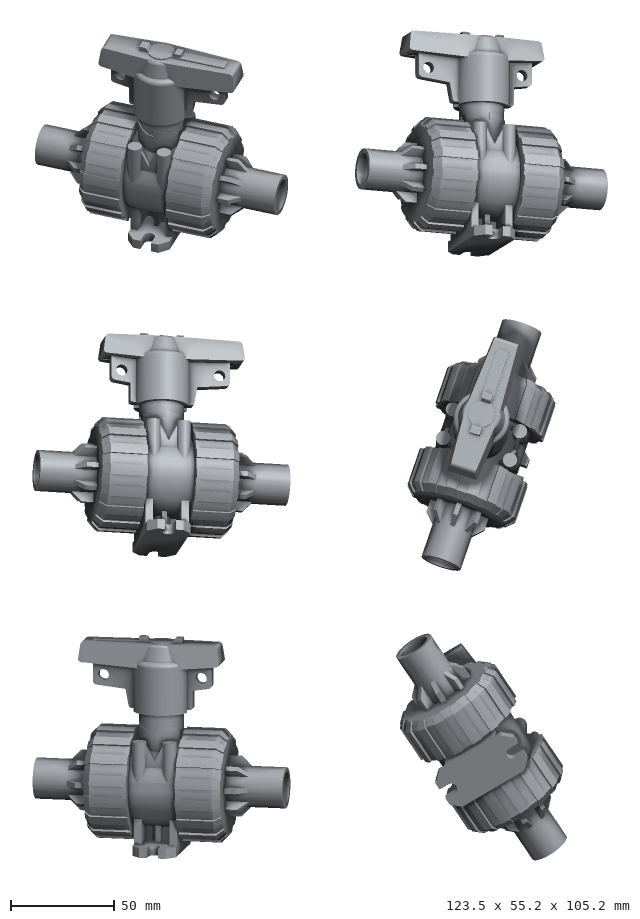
import cadquery as cq
import math


overall_length = 123.5
pipe_diameter = 20.0
pipe_bore = 15.5
rib_count = 8
rib_thickness = 2.4
rib_radius = 14.8
rib_tip_x = 44.6
rib_shoulder_x = 39.8

nut_inner_x = 12.1
nut_outer_x = 33.8
nut_radius = 27.765
nut_chamfer = 3.4
nut_opening = 31.0
groove_count = 16
groove_width = 5.66
groove_depth = 1.2
nut_wall = 3.4

body_diameter = 41.97
body_half_length = 24.0
body_bore = 15.0
neck_diameter = 22.9
neck_flat_x = 10.1
neck_top_z = 27.3
ramp_rise = 3.4
ramp_end = 3.0
post_diameter = 7.0
post_x = 7.5
post_y = 17.1
post_top_z = 23.55
post_rib_thickness = 1.8
notch_bottom_z = 13.6
notch_slope = 1.9
post_notch_half = post_x - post_diameter / 2
post_rib_top_z = notch_bottom_z + notch_slope * post_notch_half
gusset_angle = 18.0

foot_half_x = 10.7
foot_half_y = 22.3
foot_bottom_z = -33.0
foot_thickness = 4.9
foot_chamfer_x = 4.2
foot_chamfer_y = 4.6
foot_slot_width = 5.5
foot_slot_centre_y = 17.3
cheek_thickness = 3.7
cheek_half_y = 14.3
foot_boss_diameter = 8.8
foot_rib_thickness = 2.5
foot_rib_half_y = 8.0

hub_diameter = 27.4
hub_bottom_z = 35.8
hub_shoulder_z = 58.95
hub_shoulder_inset = 0.95
hub_shoulder_height = 1.85
skirt_diameter = 22.0
skirt_top_z = 47.8
cone_bottom_z = 61.6
cone_bottom_radius = 11.4
cone_top_radius = 9.2
cone_fillet = 1.8
grip_left_x = -30.3
grip_right_x = 40.3
grip_left_half_width = 7.7
grip_centre_half_width = 9.9
grip_right_half_width = 7.4
grip_bottom_z = 58.1
grip_end_z = 59.7
grip_flat_x = 10.5
grip_top_z = 69.67
grip_draft = 7.7
grip_edge_fillet = 1.8
grip_lower_fillet = 1.6
web_thickness = 5.0
web_slot_width = 7.0
web_left_x = -25.2
web_right_x = 33.4
web_arm_z = 48.0
web_leg_left_x = -15.9
web_leg_left_top_z = 46.6
web_leg_right_x = 15.6
web_leg_right_top_x = 17.3
web_leg_right_top_z = 46.3
web_leg_bottom_z = 37.0
web_arm_fillet = 2.0
web_leg_fillet = 1.4
web_hole_diameter = 5.5
web_hole_z = 52.8
web_hole_xs = (-20.1, 28.3)
cap_diameter = 12.9
cap_height = 0.75
lug_inner_x = 6.0
lug_slope_top_x = 7.25
lug_outer_x = 10.7
lug_width = 5.0
lug_fillet = 0.85
lug_top_z = 72.17
pointer_width = 5.7


def x_cylinder(diameter, start_x, end_x):
    disc = cq.Workplane("YZ", origin=(start_x, 0, 0)).circle(diameter / 2)
    return disc.extrude(end_x - start_x)


def z_cylinder(diameter, start_z, end_z, x=0, y=0):
    disc = cq.Workplane("XY", origin=(x, y, start_z)).circle(diameter / 2)
    return disc.extrude(end_z - start_z)


def block(x_range, y_range, z_range):
    size = [high - low for low, high in (x_range, y_range, z_range)]
    corner = cq.Vector(x_range[0], y_range[0], z_range[0])
    return cq.Workplane(cq.Solid.makeBox(*size, corner))


def profile_xz(points, thickness):
    """A plate parallel to XZ, centred on y = 0."""
    return cq.Workplane("XZ").polyline(points).close().extrude(thickness / 2, both=True)


def turned(shape, angle, axis):
    return shape.rotate((0, 0, 0), axis, angle)


X_AXIS = (1, 0, 0)
Z_AXIS = (0, 0, 1)


def make_pipe_end():
    """The +X pipe end: a flange held by the nut, a neck in its opening, the pipe and its ribs."""
    flange_end_x = nut_outer_x - nut_wall
    pipe_end = x_cylinder(body_diameter, body_half_length, flange_end_x)
    pipe_end = pipe_end.union(x_cylinder(nut_opening, flange_end_x, nut_outer_x))
    pipe_end = pipe_end.union(x_cylinder(pipe_diameter, nut_outer_x, overall_length / 2))
    rib = profile_xz(
        [
            (flange_end_x, 0),
            (rib_tip_x, 0),
            (rib_tip_x, pipe_diameter / 2),
            (rib_shoulder_x, rib_radius),
            (flange_end_x, rib_radius),
        ],
        rib_thickness,
    )
    for i in range(rib_count):
        pipe_end = pipe_end.union(turned(rib, i * 360 / rib_count, X_AXIS))
    return pipe_end.cut(x_cylinder(pipe_bore, body_half_length, overall_length / 2))


def nut_blank(radius):
    blank = x_cylinder(2 * radius, nut_inner_x, nut_outer_x)
    return blank.faces(">X").chamfer(nut_chamfer)


def make_nut():
    """The +X nut: lengthwise grip grooves that follow the chamfer, and a stepped bore."""
    nut = nut_blank(nut_radius)
    root = nut_blank(nut_radius - groove_depth)
    groove = block(
        (nut_inner_x, nut_outer_x),
        (-groove_width / 2, groove_width / 2),
        (nut_radius / 2, nut_radius + 1),
    ).cut(root)
    for i in range(groove_count):
        nut = nut.cut(turned(groove, i * 360 / groove_count, X_AXIS))
    nut = nut.cut(x_cylinder(body_diameter, nut_inner_x, nut_outer_x - nut_wall))
    return nut.cut(x_cylinder(nut_opening, nut_inner_x, nut_outer_x))


def make_ramps():
    """Four stop ramps on the neck, one in each quadrant, each falling from a vertical step."""
    radius = neck_diameter / 2
    ramp = (
        cq.Workplane("XZ")
        .polyline(
            [(-radius, neck_top_z), (-radius, neck_top_z + ramp_rise), (-ramp_end, neck_top_z)]
        )
        .close()
        .extrude(radius)
    )
    ramps = cq.Workplane()
    for quadrant in range(4):
        ramps = ramps.add(turned(ramp, quadrant * 90, Z_AXIS))
    ramps = ramps.combine()
    return ramps.intersect(z_cylinder(neck_diameter, neck_top_z, neck_top_z + ramp_rise))


def make_neck():
    neck = z_cylinder(neck_diameter, 0, neck_top_z).union(make_ramps())
    between_flats = block(
        (-neck_flat_x, neck_flat_x),
        (-neck_diameter / 2, neck_diameter / 2),
        (0, neck_top_z + ramp_rise),
    )
    return neck.intersect(between_flats)


def make_post_rib():
    """A thin rib joining two posts, with a V notch in its top edge."""
    return profile_xz(
        [
            (-post_x, 0),
            (post_x, 0),
            (post_x, post_rib_top_z),
            (post_notch_half, post_rib_top_z),
            (0, notch_bottom_z),
            (-post_notch_half, post_rib_top_z),
            (-post_x, post_rib_top_z),
        ],
        post_rib_thickness,
    )


def make_gusset():
    """A thin gusset falling from a post on the Z axis towards +X."""
    foot_x = post_diameter / 2 + post_rib_top_z / notch_slope
    return profile_xz(
        [(0, 0), (foot_x, 0), (post_diameter / 2, post_rib_top_z), (0, post_rib_top_z)],
        post_rib_thickness,
    )


def make_post_pair():
    """Two posts on the +Y side, the rib between them and a gusset leaning out from each."""
    pair = make_post_rib().translate((0, post_y, 0))
    for side, heading in ((1, gusset_angle - 90), (-1, -90 - gusset_angle)):
        place = (side * post_x, post_y, 0)
        pair = pair.union(z_cylinder(post_diameter, 0, post_top_z).translate(place))
        pair = pair.union(turned(make_gusset(), heading, Z_AXIS).translate(place))
    return pair


def make_posts():
    pair = make_post_pair()
    return pair.union(turned(pair, 180, Z_AXIS))


def make_foot():
    plate_top_z = foot_bottom_z + foot_thickness
    flat_x = foot_half_x - foot_chamfer_x
    straight_y = foot_half_y - foot_chamfer_y
    foot = (
        cq.Workplane("XY", origin=(0, 0, foot_bottom_z))
        .polyline(
            [
                (-foot_half_x, -straight_y),
                (-flat_x, -foot_half_y),
                (flat_x, -foot_half_y),
                (foot_half_x, -straight_y),
                (foot_half_x, straight_y),
                (flat_x, foot_half_y),
                (-flat_x, foot_half_y),
                (-foot_half_x, straight_y),
            ]
        )
        .close()
        .extrude(foot_thickness)
    )
    for side in (-1, 1):
        inner_y = side * foot_slot_centre_y
        outer_y = side * foot_half_y
        slot = z_cylinder(foot_slot_width, foot_bottom_z, plate_top_z, 0, inner_y).union(
            block(
                (-foot_slot_width / 2, foot_slot_width / 2),
                sorted((inner_y, outer_y)),
                (foot_bottom_z, plate_top_z),
            )
        )
        foot = foot.cut(slot)
        cheek_x = sorted((side * foot_half_x, side * (foot_half_x - cheek_thickness)))
        foot = foot.union(block(cheek_x, (-cheek_half_y, cheek_half_y), (plate_top_z, 0)))
    foot = foot.union(z_cylinder(foot_boss_diameter, plate_top_z, 0))
    half_rib = foot_rib_thickness / 2
    rib_z = (plate_top_z, 0)
    foot = foot.union(block((-half_rib, half_rib), (-foot_rib_half_y, foot_rib_half_y), rib_z))
    return foot.union(block((-foot_half_x, foot_half_x), (-half_rib, half_rib), rib_z))


def make_body():
    body = x_cylinder(body_diameter, -body_half_length, body_half_length)
    for feature in (make_neck(), make_posts(), make_foot()):
        body = body.union(feature)
    return body.cut(x_cylinder(body_bore, -body_half_length, body_half_length))


def make_hub():
    """The round hub: a slotted sleeve with a rounded shoulder, and a cone through the grip."""
    hub_radius = hub_diameter / 2
    rise = grip_top_z - cone_bottom_z
    shoulder_end = (hub_radius - hub_shoulder_inset, hub_shoulder_z + hub_shoulder_height)
    sleeve = (
        cq.Workplane("XZ")
        .moveTo(0, hub_bottom_z)
        .lineTo(hub_radius, hub_bottom_z)
        .lineTo(hub_radius, hub_shoulder_z)
        .tangentArcPoint(shoulder_end, relative=False)
        .lineTo(cone_bottom_radius, cone_bottom_z)
        .lineTo(0, cone_bottom_z)
        .close()
        .revolve(360, (0, 0, 0), (0, 1, 0))
    )
    cone_taper = math.degrees(math.atan((cone_bottom_radius - cone_top_radius) / rise))
    cone = (
        cq.Workplane("XY", origin=(0, 0, cone_bottom_z))
        .circle(cone_bottom_radius)
        .extrude(rise, taper=cone_taper)
        .faces(">Z")
        .edges()
        .fillet(cone_fillet)
    )
    return sleeve.union(cone)


def make_grip():
    """The drafted bar, widest over the hub, with its underside rising towards both ends."""
    grip = (
        cq.Workplane("XY", origin=(0, 0, grip_bottom_z))
        .polyline(
            [
                (grip_left_x, -grip_left_half_width),
                (0, -grip_centre_half_width),
                (grip_right_x, -grip_right_half_width),
                (grip_right_x, grip_right_half_width),
                (0, grip_centre_half_width),
                (grip_left_x, grip_left_half_width),
            ]
        )
        .close()
        .extrude(grip_top_z - grip_bottom_z, taper=grip_draft)
    )
    side_profile = profile_xz(
        [
            (grip_left_x, grip_end_z),
            (-grip_flat_x, grip_bottom_z),
            (grip_flat_x, grip_bottom_z),
            (grip_right_x, grip_end_z),
            (grip_right_x, grip_top_z),
            (grip_left_x, grip_top_z),
        ],
        4 * grip_centre_half_width,
    )
    grip = grip.intersect(side_profile)
    grip = grip.faces(">Z").edges("|Y").fillet(grip_edge_fillet)
    lower_end_edges = grip.edges("<X").add(grip.edges(">X"))
    return lower_end_edges.fillet(grip_lower_fillet)


def make_web():
    """The thin plate under the grip, with a padlock hole at each end."""
    web = profile_xz(
        [
            (web_left_x, grip_end_z),
            (web_left_x, web_arm_z),
            (web_leg_left_x, web_leg_left_top_z),
            (web_leg_left_x, web_leg_bottom_z),
            (web_leg_right_x, web_leg_bottom_z),
            (web_leg_right_top_x, web_leg_right_top_z),
            (web_right_x, web_arm_z),
            (web_right_x, grip_end_z),
        ],
        web_thickness,
    )
    arm_corners = cq.selectors.BoxSelector(
        (web_left_x - 1, -web_thickness, web_arm_z - 1),
        (web_right_x + 1, web_thickness, web_arm_z + 1),
    )
    web = web.edges("|Y").edges(arm_corners).fillet(web_arm_fillet)
    web = web.faces("<Z").edges("|Y").fillet(web_leg_fillet)
    for hole_x in web_hole_xs:
        hole = cq.Workplane("XZ").center(hole_x, web_hole_z).circle(web_hole_diameter / 2)
        web = web.cut(hole.extrude(web_thickness, both=True))
    return web


def make_top_marks():
    """The round cap, the two lugs beside it and the raised pointer along the longer arm."""
    cap_top_z = grip_top_z + cap_height
    marks = z_cylinder(cap_diameter, grip_top_z, cap_top_z)
    lug = profile_xz(
        [
            (lug_inner_x, grip_top_z),
            (lug_inner_x, cap_top_z),
            (lug_slope_top_x, lug_top_z),
            (lug_outer_x, lug_top_z),
            (lug_outer_x, grip_top_z),
        ],
        lug_width,
    )
    lug = lug.faces(">Z").edges("<X").fillet(lug_fillet)
    pointer = block(
        (0, web_right_x), (-pointer_width / 2, pointer_width / 2), (grip_top_z, cap_top_z)
    )
    return marks.union(lug).union(lug.mirror("YZ")).union(pointer)


def make_handle():
    handle = make_hub().union(make_grip())
    web_slot = block(
        (grip_left_x, grip_right_x),
        (-web_slot_width / 2, web_slot_width / 2),
        (hub_bottom_z, grip_end_z),
    )
    handle = handle.cut(web_slot)
    skirt = z_cylinder(skirt_diameter, neck_top_z, skirt_top_z).cut(make_ramps())
    for feature in (skirt, make_web(), make_top_marks()):
        handle = handle.union(feature)
    return handle


body = make_body()
handle = make_handle()
pipe_end = make_pipe_end()
nut = make_nut()
pipe_ends = [turned(pipe_end, angle, Z_AXIS) for angle in (0, 180)]
nuts = [turned(nut, angle, Z_AXIS) for angle in (0, 180)]

result = cq.Compound.makeCompound(
    [
        body.val(),
        handle.val(),
        *[copy.val() for copy in pipe_ends],
        *[copy.val() for copy in nuts],
    ]
)